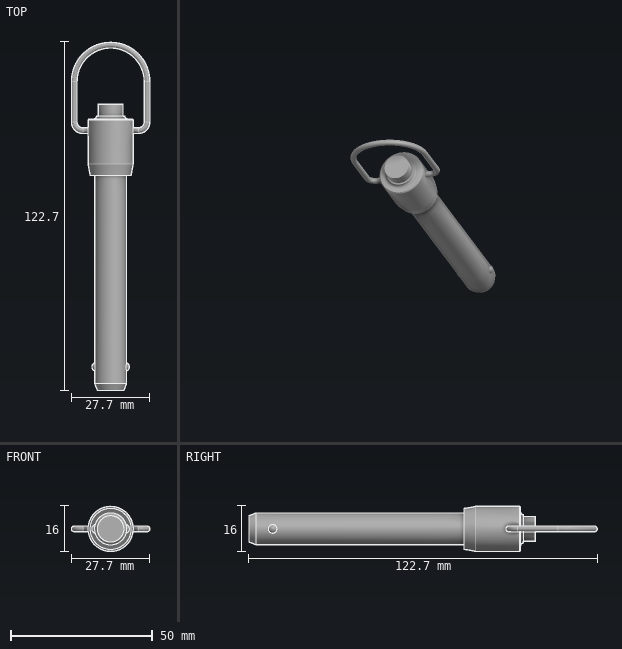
import cadquery as cq
import math

total_length = 122.7

shank_radius = 5.6
tip_radius = 4.7
tip_taper_length = 2.5

collar_radius = 8.0
collar_front_radius = 7.2
collar_front = 75.7
collar_taper_length = 4.0
collar_back = 95.7
collar_back_chamfer = 0.4

button_radius = 4.4
button_end = 100.8
flare_top_radius = 5.0
flare_radius = 1.0

ball_radius = 1.6
ball_reach = 6.6
ball_position = 8.3

ring_width = 27.7
wire_radius = 1.04
ring_corner_radius = 3.1
ring_end_x = 6.1
ring_side_x = ring_width / 2 - wire_radius
ring_arc_center = total_length - ring_width / 2
ring_foot = 91.5


def make_pin():
    """Revolve the shank, collar, flare and button about Y."""
    flare_base_radius = flare_top_radius + flare_radius
    flare_end = collar_back + flare_radius
    arc_offset = flare_radius * (1 - math.sqrt(0.5))
    flare_middle = (flare_top_radius + arc_offset, collar_back + arc_offset)
    return (
        cq.Workplane("XY")
        .lineTo(tip_radius, 0)
        .lineTo(shank_radius, tip_taper_length)
        .lineTo(shank_radius, collar_front)
        .lineTo(collar_front_radius, collar_front)
        .lineTo(collar_radius, collar_front + collar_taper_length)
        .lineTo(collar_radius, collar_back - collar_back_chamfer)
        .lineTo(collar_radius - collar_back_chamfer, collar_back)
        .lineTo(flare_base_radius, collar_back)
        .threePointArc(flare_middle, (flare_top_radius, flare_end))
        .lineTo(button_radius, flare_end)
        .lineTo(button_radius, button_end)
        .lineTo(0, button_end)
        .close()
        .revolve(360, (0, 0), (0, 1))
    )


def make_ball(side):
    """Locking ball on the +X (side = 1) or -X (side = -1) flank."""
    ball_x = side * (ball_reach - ball_radius)
    return cq.Workplane("XY").sphere(ball_radius).translate((ball_x, ball_position, 0))


def make_ring():
    """Sweep the round wire from one collar flank over the top to the other."""
    corner_x = ring_side_x - ring_corner_radius
    corner_y = ring_foot + ring_corner_radius
    path = (
        cq.Workplane("XY")
        .moveTo(-ring_end_x, ring_foot)
        .lineTo(-corner_x, ring_foot)
        .tangentArcPoint((-ring_side_x, corner_y), relative=False)
        .lineTo(-ring_side_x, ring_arc_center)
        .tangentArcPoint((ring_side_x, ring_arc_center), relative=False)
        .lineTo(ring_side_x, corner_y)
        .tangentArcPoint((corner_x, ring_foot), relative=False)
        .lineTo(ring_end_x, ring_foot)
    )
    wire_section = cq.Workplane("YZ", origin=(-ring_end_x, ring_foot, 0)).circle(wire_radius)
    return wire_section.sweep(path)


result = make_pin().union(make_ring())
for side in (-1, 1):
    result = result.union(make_ball(side))